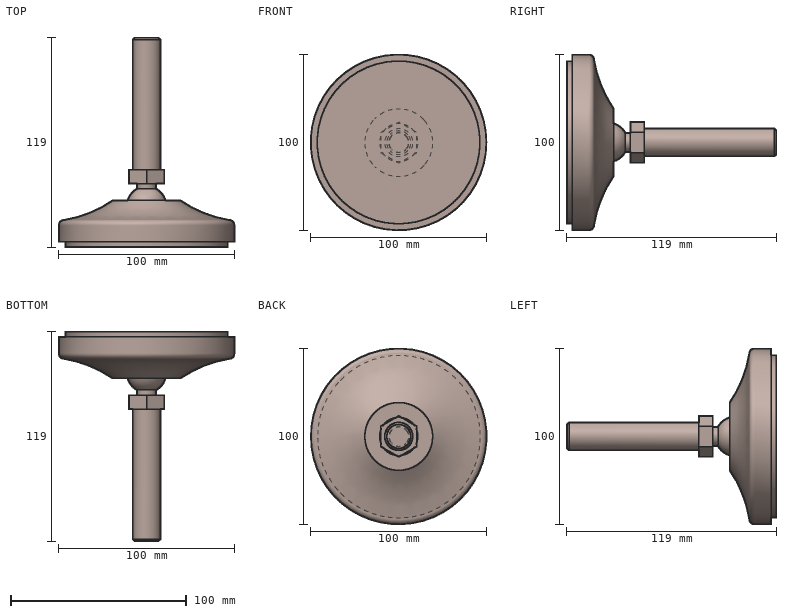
import cadquery as cq
import math

total_length = 119.0

pad_diameter = 92.5
pad_height = 3.0
rim_diameter = 100.0
rim_fillet = 3.1
flare_base_y = 15.5
flare_mid_radius = 28.6
flare_mid_y = 21.2
hub_radius = 19.3
hub_top_y = 26.5

ball_radius = 11.3
ball_center_y = 23.3
ball_top_y = 33.1
neck_diameter = 11.0

hex_base_y = 36.0
hex_height = 8.0
hex_across_flats = 20.2
spindle_diameter = 16.0
spindle_chamfer = 1.2


def cylinder(diameter, start_y, end_y):
    """Round bar about the Y axis between two heights."""
    return cq.Workplane("XZ", origin=(0, start_y, 0)).circle(diameter / 2).extrude(start_y - end_y)


def foot_plate():
    """Revolved plate with a stepped pad, rounded rim and concave flare."""
    pad_radius = pad_diameter / 2
    rim_radius = rim_diameter / 2
    flare_radius = rim_radius - rim_fillet
    fillet_center_y = flare_base_y - rim_fillet
    fillet_mid_offset = rim_fillet * math.sqrt(0.5)
    profile = (
        cq.Workplane("XY")
        .lineTo(pad_radius, 0)
        .lineTo(pad_radius, pad_height)
        .lineTo(rim_radius, pad_height)
        .lineTo(rim_radius, fillet_center_y)
        .threePointArc(
            (flare_radius + fillet_mid_offset, fillet_center_y + fillet_mid_offset),
            (flare_radius, flare_base_y),
        )
        .threePointArc((flare_mid_radius, flare_mid_y), (hub_radius, hub_top_y))
        .lineTo(0, hub_top_y)
        .close()
    )
    return profile.revolve(360, (0, 0, 0), (0, 1, 0))


def ball_joint():
    """Portion of the ball above the hub, cut flat below the neck."""
    ball = cq.Workplane("XY", origin=(0, ball_center_y, 0)).sphere(ball_radius)
    return ball.intersect(cylinder(2 * ball_radius, ball_center_y, ball_top_y))


def hexagon():
    """Wrench hexagon with two corners on the Z direction."""
    across_corners = hex_across_flats / math.cos(math.pi / 6)
    blank = cq.Workplane("XZ", origin=(0, hex_base_y, 0)).polygon(6, across_corners).extrude(-hex_height)
    return blank.rotate((0, 0, 0), (0, 1, 0), 30)


def spindle():
    """Round spindle with a chamfered free end."""
    bar = cylinder(spindle_diameter, hex_base_y + hex_height, total_length)
    return bar.faces(">Y").chamfer(spindle_chamfer)


neck = cylinder(neck_diameter, ball_center_y, hex_base_y)
result = foot_plate().union(ball_joint()).union(neck).union(hexagon()).union(spindle())